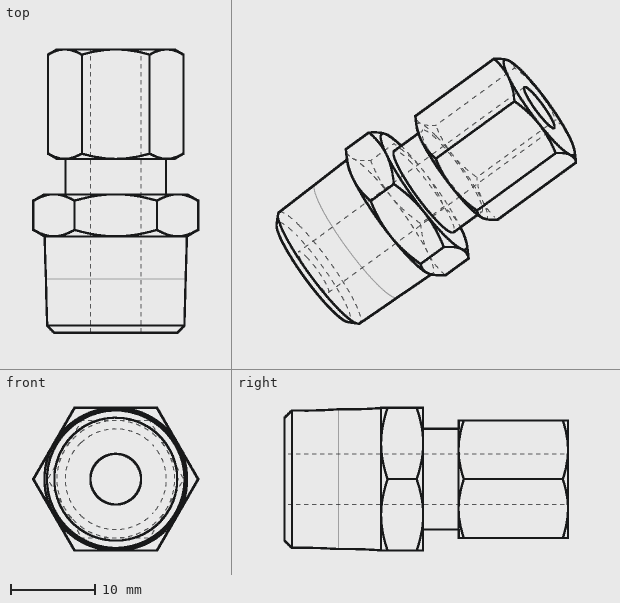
import cadquery as cq
import math

total_length = 33.7
lead_chamfer_length = 0.88
gauge_position = 6.4
thread_length = 11.5
body_hex_end = 16.5
nut_start = 20.7

body_hex_flats = 17.0
nut_flats = 14.0
neck_diameter = 12.0
bore_diameter = 6.0
thread_end_diameter = 14.63
thread_small_diameter = 16.35
thread_gauge_diameter = 16.65
thread_large_diameter = 16.95
hex_chamfer_angle = 30.0


def turned(points):
    """Revolve a (radius, position) outline about the Y axis."""
    return cq.Workplane("XY").polyline(points).close().revolve(360, (0, 0, 0), (0, 1, 0))


def chamfered_hex(flats, start, end):
    """Hexagon along Y, corners on X, with conical chamfers starting at the flats circle."""
    corner_diameter = flats / math.cos(math.radians(30))
    hexagon = (
        cq.Workplane("XZ", origin=(0, start, 0))
        .polygon(6, corner_diameter)
        .extrude(start - end)
    )
    face_radius = flats / 2
    corner_radius = corner_diameter / 2
    outer_radius = 2 * corner_radius - face_radius
    drop = (outer_radius - face_radius) * math.tan(math.radians(hex_chamfer_angle))
    envelope = turned([
        (0, start),
        (face_radius, start),
        (outer_radius, start + drop),
        (outer_radius, end - drop),
        (face_radius, end),
        (0, end),
    ])
    return hexagon.intersect(envelope)


thread = turned([
    (0, 0),
    (thread_end_diameter / 2, 0),
    (thread_small_diameter / 2, lead_chamfer_length),
    (thread_gauge_diameter / 2, gauge_position),
    (thread_large_diameter / 2, thread_length),
    (0, thread_length),
])

body_hex = chamfered_hex(body_hex_flats, thread_length, body_hex_end)
neck = (
    cq.Workplane("XZ", origin=(0, body_hex_end, 0))
    .circle(neck_diameter / 2)
    .extrude(body_hex_end - nut_start)
)
nut = chamfered_hex(nut_flats, nut_start, total_length)

bore = cq.Workplane("XZ").circle(bore_diameter / 2).extrude(-total_length)

result = thread.union(body_hex).union(neck).union(nut).cut(bore)